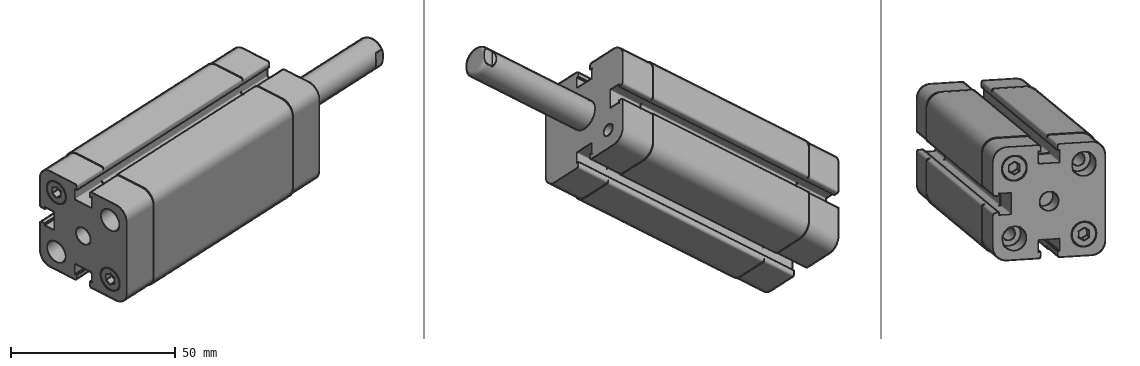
import cadquery as cq
import math


total_length = 132.5
body_length = 88.0
cap_length = 12.2

tube_width = 36.0
cap_inset = 0.3
corner_radius = 4.6

slot_mouth = 5.3
slot_width = 6.8
slot_depth = 5.8
slot_lip = 2.3
slot_mouth_radius = 0.8
slot_floor_radius = 0.4

hole_offset = 11.0
through_diameter = 4.1
counterbore_diameter = 7.5
counterbore_depth = 6.6
screw_bore_diameter = 8.0
screw_head_diameter = 7.5
screw_gap_depth = 4.0
hex_across_flats = 3.5
hex_depth = 2.9
center_hole_diameter = 6.0
center_hole_depth = 6.6

rod_diameter = 10.0
rod_tip_radius = 1.3
rod_across_flats = 8.2
rod_flat_length = 3.5


def front_plane(y):
    """Sketch plane facing -Y at the given y; local x is X, local y is Z, and depth runs negative."""
    return cq.Workplane(cq.Plane(origin=(0, y, 0), xDir=(1, 0, 0), normal=(0, -1, 0)))


def slot_cutter(half_width, y_start, length):
    """T-slot cutter for the top face, with rounded mouth edges and floor corners."""
    mouth = slot_mouth / 2
    flare = mouth + slot_mouth_radius
    floor = half_width - slot_depth
    lip = tube_width / 2 - slot_lip
    round_start = half_width - slot_mouth_radius
    round_offset = slot_mouth_radius * (1 - math.sqrt(0.5))
    channel = (
        front_plane(y_start)
        .moveTo(0, (floor + lip) / 2)
        .rect(slot_width, lip - floor)
        .extrude(-length)
        .edges("|Y")
        .edges("<Z")
        .fillet(slot_floor_radius)
    )
    opening = (
        front_plane(y_start)
        .moveTo(-mouth, lip)
        .lineTo(mouth, lip)
        .lineTo(mouth, round_start)
        .threePointArc((mouth + round_offset, half_width - round_offset), (flare, half_width))
        .lineTo(-flare, half_width)
        .threePointArc((-mouth - round_offset, half_width - round_offset), (-mouth, round_start))
        .close()
        .extrude(-length)
    )
    return channel.union(opening)


def profile_section(inset, y_start, length):
    """Rounded square length with T-slots, its faces set in from the tube faces by inset."""
    width = tube_width - 2 * inset
    section = (
        front_plane(y_start)
        .rect(width, width)
        .extrude(-length)
        .edges("|Y")
        .fillet(corner_radius - inset)
    )
    cutter = slot_cutter(width / 2, y_start, length)
    for angle in (0, 180, -90):
        section = section.cut(cutter.rotate((0, 0, 0), (0, 1, 0), angle))
    return section


def piston_rod():
    """Round rod with a rounded tip and two wrench flats facing -X and +X."""
    rod = (
        front_plane(body_length)
        .circle(rod_diameter / 2)
        .extrude(body_length - total_length)
        .faces(">Y")
        .edges()
        .fillet(rod_tip_radius)
    )
    flat_x = rod_across_flats / 2
    outer_x = rod_diameter / 2
    flat_end = total_length - rod_flat_length
    ramp_end = flat_end - (outer_x - flat_x)
    flat_cutter = (
        cq.Workplane("XY")
        .polyline([
            (flat_x, total_length),
            (flat_x, flat_end),
            (outer_x, ramp_end),
            (outer_x, total_length),
        ])
        .close()
        .extrude(outer_x, both=True)
    )
    return rod.cut(flat_cutter).cut(flat_cutter.mirror("YZ"))


def add_front_holes(body):
    """Counterbored through holes on one diagonal and a blind hole in the centre."""
    holes = [(hole_offset, hole_offset), (-hole_offset, -hole_offset)]
    through = front_plane(0).pushPoints(holes).circle(through_diameter / 2).extrude(-body_length)
    counterbores = (
        front_plane(0).pushPoints(holes).circle(counterbore_diameter / 2).extrude(-counterbore_depth)
    )
    center = front_plane(0).circle(center_hole_diameter / 2).extrude(-center_hole_depth)
    return body.cut(through).cut(counterbores).cut(center)


def add_screw_heads(body):
    """Flush socket screws on the other diagonal: a ring gap around each head and a hex socket."""
    screws = [(-hole_offset, hole_offset), (hole_offset, -hole_offset)]
    gaps = (
        front_plane(0)
        .pushPoints(screws)
        .circle(screw_bore_diameter / 2)
        .circle(screw_head_diameter / 2)
        .extrude(-screw_gap_depth)
    )
    hex_across_corners = hex_across_flats / math.cos(math.radians(30))
    socket = (
        front_plane(0)
        .transformed(rotate=(0, 0, 30))
        .polygon(6, hex_across_corners)
        .extrude(-hex_depth)
    )
    body = body.cut(gaps)
    for x, z in screws:
        body = body.cut(socket.translate((x, 0, z)))
    return body


tube = profile_section(0, cap_length, body_length - 2 * cap_length)
front_cap = profile_section(cap_inset, 0, cap_length)
rear_cap = profile_section(cap_inset, body_length - cap_length, cap_length)

body = tube.union(front_cap).union(rear_cap)
body = add_front_holes(body)
body = add_screw_heads(body)
result = body.union(piston_rod())